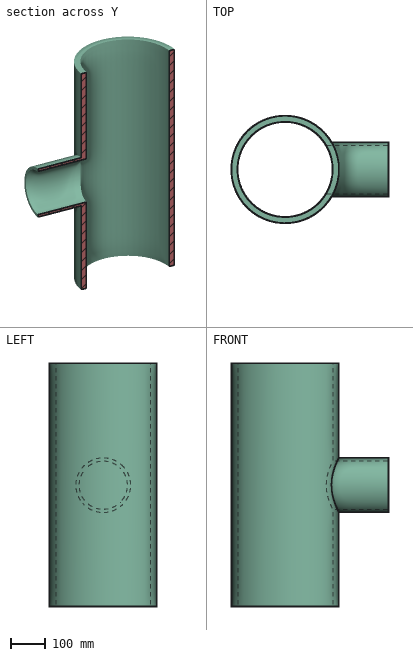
import cadquery as cq

run_outer_diameter = 315.0
run_wall = 18.7
run_length = 712.0

branch_outer_diameter = 160.0
branch_reach = 303.0

branch_wall = run_wall * branch_outer_diameter / run_outer_diameter


def run_cylinder(diameter):
    """Solid cylinder over the full run length, centred on the origin."""
    return cq.Workplane("XY").circle(diameter / 2).extrude(run_length / 2, both=True)


def branch_cylinder(diameter):
    """Solid cylinder from the run axis to the branch end."""
    return cq.Workplane("YZ").circle(diameter / 2).extrude(branch_reach)


body = run_cylinder(run_outer_diameter).union(branch_cylinder(branch_outer_diameter))

run_bore = run_cylinder(run_outer_diameter - 2 * run_wall)
branch_bore = branch_cylinder(branch_outer_diameter - 2 * branch_wall)

result = body.cut(run_bore).cut(branch_bore)